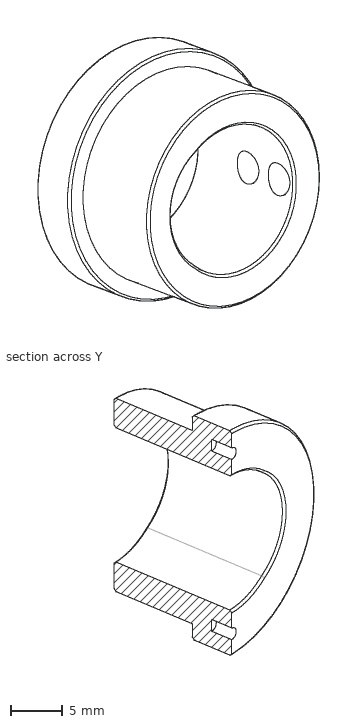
import cadquery as cq

total_length = 15.0
flange_diameter = 25.4
flange_thickness = 5.05
hub_diameter = 21.9
bore_diameter = 15.11
edge_chamfer = 0.25

relief_diameter = 13.97
relief_offset = 0.97

pin_hole_diameter = 1.27
pin_hole_depth = 2.55
pin_circle_radius = 10.15

side_hole_diameter = 3.3
side_hole_spacing = 4.75
first_side_hole_x = 7.92
side_hole_positions = [first_side_hole_x, first_side_hole_x + side_hole_spacing]


def cylinder_along_x(diameter, length):
    return cq.Workplane("YZ").circle(diameter / 2).extrude(length)


def chamfered_bore(diameter, center_y):
    radius = diameter / 2
    mouth_radius = radius + edge_chamfer
    bore = cylinder_along_x(diameter, total_length).translate((0, center_y, 0))
    for end_x, inward in [(0, 1), (total_length, -1)]:
        base = cq.Vector(end_x, center_y, 0)
        direction = cq.Vector(inward, 0, 0)
        cone = cq.Solid.makeCone(mouth_radius, radius, edge_chamfer, base, direction)
        bore = bore.union(cq.Workplane(cone))
    return bore


def bushing_body():
    flange = cylinder_along_x(flange_diameter, flange_thickness).edges().chamfer(edge_chamfer)
    hub = cylinder_along_x(hub_diameter, total_length).edges(">X").chamfer(edge_chamfer)
    main_bore = chamfered_bore(bore_diameter, 0)
    relief_bore = chamfered_bore(relief_diameter, -relief_offset)
    return flange.union(hub).cut(main_bore).cut(relief_bore)


def pin_holes():
    centers = [(0, pin_circle_radius), (0, -pin_circle_radius)]
    return cq.Workplane("YZ").pushPoints(centers).circle(pin_hole_diameter / 2).extrude(pin_hole_depth)


def side_holes():
    centers = [(x, 0) for x in side_hole_positions]
    radius = side_hole_diameter / 2
    return cq.Workplane("XZ").pushPoints(centers).circle(radius).extrude(-hub_diameter / 2 - edge_chamfer)


def chamfer_side_hole_mouths(body):
    reach = side_hole_diameter / 2 + edge_chamfer
    outer_y = hub_diameter / 2 + edge_chamfer
    inner_y = (hub_diameter + bore_diameter) / 4
    for x in side_hole_positions:
        low_corner = (x - reach, inner_y, -reach)
        high_corner = (x + reach, outer_y, reach)
        mouth = cq.selectors.BoxSelector(low_corner, high_corner, boundingbox=True)
        body = body.edges(mouth).chamfer(edge_chamfer)
    return body


drilled_body = bushing_body().cut(pin_holes()).cut(side_holes())
result = chamfer_side_hole_mouths(drilled_body)